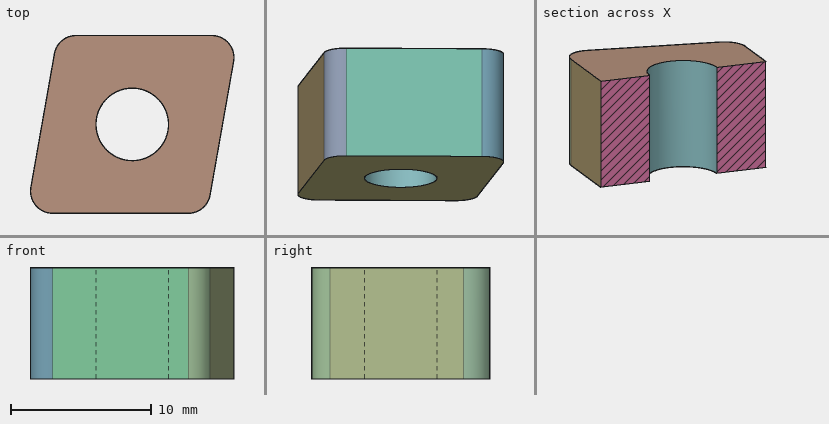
import cadquery as cq
import math

inscribed_diameter = 12.7
thickness = 7.94
acute_angle = 80.0
corner_radius = 1.5875
hole_diameter = 5.16

angle = math.radians(acute_angle)
side_length = inscribed_diameter / math.sin(angle)
half_height = inscribed_diameter / 2
half_side = side_length / 2
half_lean = half_height / math.tan(angle)


def make_body():
    """Rhombic prism centred on the Z axis, with its vertical edges rounded."""
    corners = [
        (-half_side - half_lean, -half_height),
        (half_side - half_lean, -half_height),
        (half_side + half_lean, half_height),
        (-half_side + half_lean, half_height),
    ]
    prism = cq.Workplane("XY").polyline(corners).close().extrude(thickness)
    return prism.edges("|Z").fillet(corner_radius)


def cut_clamping_hole(body):
    """Straight through hole on the Z axis."""
    return body.faces(">Z").workplane(origin=(0, 0, thickness)).hole(hole_diameter)


result = cut_clamping_hole(make_body())